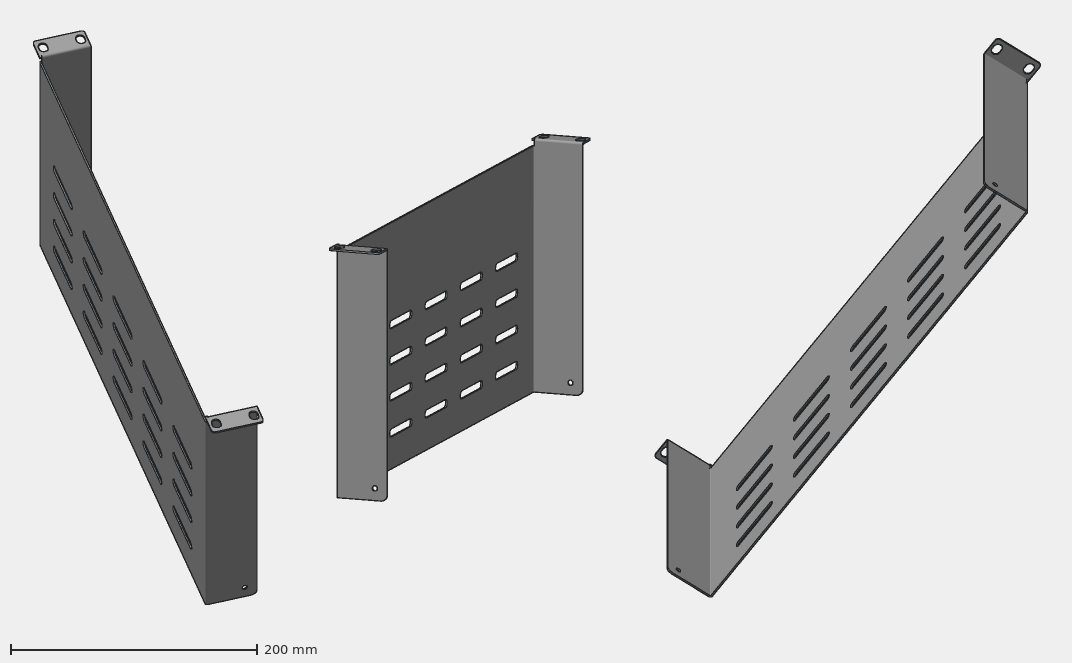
import cadquery as cq

overall_width = 483.0
overall_depth = 44.0
overall_height = 210.0

sheet = 1.5
inner_bend = 0.5
outer_bend = inner_bend + sheet
panel_width = 446.5
half_panel = panel_width / 2

relief_height = 6.0
panel_height = overall_height - relief_height

flange_corner = 3.0

mount_slot_length = 10.0
mount_slot_width = 7.2
mount_slot_spacing = 32.0
mount_slot_x = 232.5
mount_slot_y = 22.0

vent_columns = 5
vent_rows = 4
vent_length = 50.0
vent_width = 7.0
vent_column_pitch = 80.0
vent_row_pitch = 30.0
lowest_vent_z = 30.0

wall_corner = 5.5
wall_hole_diameter = 4.5
wall_hole_from_back = 10.5
wall_hole_z = 10.0


def make_channel():
    """Front panel and both side walls, bent from one sheet into a U."""
    wall_height = overall_height - outer_bend
    outer = (
        cq.Workplane("XY")
        .box(panel_width, overall_depth, wall_height, centered=(True, False, False))
        .edges("|Z and <Y")
        .fillet(outer_bend)
    )
    inner = (
        cq.Workplane("XY")
        .box(panel_width - 2 * sheet, overall_depth, wall_height, centered=(True, False, False))
        .edges("|Z and <Y")
        .fillet(inner_bend)
        .translate((0, sheet, 0))
    )
    relief = (
        cq.Workplane("XY", origin=(0, 0, panel_height))
        .box(panel_width, outer_bend, relief_height, centered=(True, False, False))
    )
    return outer.cut(inner).cut(relief).edges("|X and >Y and <Z").fillet(wall_corner)


def make_flange():
    """Right-hand mounting flange: a flat plate, bent down into the wall behind the relief."""
    inside_x = half_panel - sheet
    underside_z = overall_height - sheet
    bend_end_x = half_panel + inner_bend
    bend_bottom_z = overall_height - outer_bend
    plate = (
        cq.Workplane("XY", origin=(inside_x, 0, underside_z))
        .box(overall_width / 2 - inside_x, overall_depth, sheet, centered=False)
        .edges("|Z and >X")
        .fillet(flange_corner)
    )
    bend_blank = (
        cq.Workplane("XY", origin=(inside_x, outer_bend, bend_bottom_z))
        .box(outer_bend, overall_depth - outer_bend, outer_bend, centered=False)
    )
    bend = (
        cq.Workplane("XZ", origin=(0, overall_depth, 0))
        .moveTo(inside_x, bend_bottom_z)
        .radiusArc((bend_end_x, overall_height), outer_bend)
        .lineTo(bend_end_x, underside_z)
        .radiusArc((half_panel, bend_bottom_z), -inner_bend)
        .close()
        .extrude(overall_depth - outer_bend)
    )
    slots = (
        cq.Workplane("XY", origin=(mount_slot_x, mount_slot_y, underside_z))
        .rarray(5, mount_slot_spacing, 1, 2)
        .slot2D(mount_slot_length, mount_slot_width)
        .extrude(sheet)
    )
    return plate.cut(bend_blank).union(bend).cut(slots)


def vent_slots():
    """Grid of slots through the front panel."""
    grid_centre_z = lowest_vent_z + (vent_rows - 1) * vent_row_pitch / 2
    return (
        cq.Workplane("XZ", origin=(0, 0, grid_centre_z))
        .rarray(vent_column_pitch, vent_row_pitch, vent_columns, vent_rows)
        .slot2D(vent_length, vent_width)
        .extrude(-sheet)
    )


def wall_holes():
    """One bore through both side walls, near their lower back corners."""
    return (
        cq.Workplane("YZ")
        .center(overall_depth - wall_hole_from_back, wall_hole_z)
        .circle(wall_hole_diameter / 2)
        .extrude(half_panel, both=True)
    )


flange = make_flange()
result = (
    make_channel()
    .union(flange)
    .union(flange.mirror("YZ"))
    .cut(vent_slots())
    .cut(wall_holes())
)